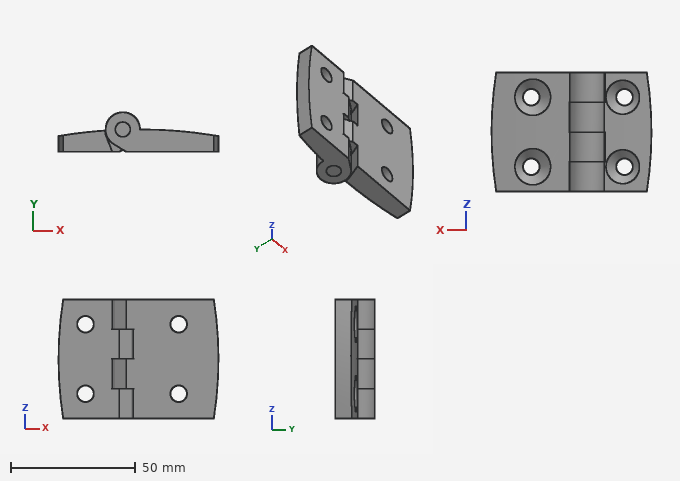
import cadquery as cq
import math

LENGTH = 64.5
HEIGHT = 48.0
SIDE_BULGE = 1.9

CROWN_DEPTH = 9.1
END_DEPTH = 6.4

TOTAL_DEPTH = 16.0
BARREL_RADIUS = 6.95
CLEARANCE_RADIUS = 7.2
AXIS_X = 25.9
AXIS_Y = TOTAL_DEPTH - BARREL_RADIUS
KNUCKLE_FOOT = 1.35
RECESS_FOOT = 4.25
PIN_DIAMETER = 6.0

KNUCKLE_COUNT = 4
KNUCKLE_HEIGHT = HEIGHT / KNUCKLE_COUNT

HOLE_DIAMETER = 6.6
LEFT_HOLE_X = 10.9
RIGHT_HOLE_X = 48.4
HOLE_SPACING_Z = 28.0
SINK_DIAMETER = 13.5
SINK_LEVEL = 7.85
SINK_ANGLE = 90.0

LEFT = -1
RIGHT = 1


def domed_slab():
    """Slab shared by both leaves: flat front, domed back and bowed outer edges."""
    profile = (
        cq.Workplane("XY")
        .lineTo(LENGTH, 0)
        .lineTo(LENGTH, END_DEPTH)
        .threePointArc((LENGTH / 2, CROWN_DEPTH), (0, END_DEPTH))
        .close()
        .extrude(HEIGHT)
    )
    outline = (
        cq.Workplane("XZ")
        .moveTo(SIDE_BULGE, 0)
        .lineTo(LENGTH - SIDE_BULGE, 0)
        .threePointArc((LENGTH, HEIGHT / 2), (LENGTH - SIDE_BULGE, HEIGHT))
        .lineTo(SIDE_BULGE, HEIGHT)
        .threePointArc((0, HEIGHT / 2), (SIDE_BULGE, 0))
        .close()
        .extrude(-TOTAL_DEPTH)
    )
    return profile.intersect(outline)


def tangent_point(radius, foot, side):
    """Point where the line from a foot on the front face touches a circle about the axis.

    The foot lies that far from the axis toward the given side, and the line
    touches the circle on the opposite side of the foot.
    """
    distance = math.hypot(foot, AXIS_Y)
    angle = math.atan2(-AXIS_Y, foot) - math.acos(radius / distance)
    return (AXIS_X + side * radius * math.cos(angle), AXIS_Y + radius * math.sin(angle))


def cylinder_about_axis(radius, bottom, height):
    return (
        cq.Workplane("XY", origin=(0, 0, bottom))
        .center(AXIS_X, AXIS_Y)
        .circle(radius)
        .extrude(height)
    )


def knuckle(side, bottom):
    """Barrel with a ramp that runs tangentially down to the front face."""
    foot_x = AXIS_X + side * KNUCKLE_FOOT
    ramp = (
        cq.Workplane("XY", origin=(0, 0, bottom))
        .polyline([
            (AXIS_X, AXIS_Y),
            tangent_point(BARREL_RADIUS, KNUCKLE_FOOT, side),
            (foot_x, 0),
            (foot_x, AXIS_Y),
        ])
        .close()
        .extrude(KNUCKLE_HEIGHT)
    )
    return cylinder_about_axis(BARREL_RADIUS, bottom, KNUCKLE_HEIGHT).union(ramp)


def knuckle_recess(side, bottom):
    """Space for the other leaf's knuckle, with a sloping wall tangent to the clearance."""
    slope = (
        cq.Workplane("XY", origin=(0, 0, bottom))
        .polyline([
            (AXIS_X, AXIS_Y),
            tangent_point(CLEARANCE_RADIUS, -RECESS_FOOT, -side),
            (AXIS_X + side * RECESS_FOOT, 0),
            (AXIS_X, 0),
        ])
        .close()
        .extrude(KNUCKLE_HEIGHT)
    )
    return cylinder_about_axis(CLEARANCE_RADIUS, bottom, KNUCKLE_HEIGHT).union(slope)


def screw_hole(x, z):
    """Through hole with a countersink that opens on the domed back."""
    hole_radius = HOLE_DIAMETER / 2
    widening = math.tan(math.radians(SINK_ANGLE / 2))
    sink_bottom = SINK_LEVEL - (SINK_DIAMETER / 2 - hole_radius) / widening
    rim_radius = hole_radius + (CROWN_DEPTH - sink_bottom) * widening
    return (
        cq.Workplane("XY", origin=(x, 0, z))
        .lineTo(hole_radius, 0)
        .lineTo(hole_radius, sink_bottom)
        .lineTo(rim_radius, CROWN_DEPTH)
        .lineTo(0, CROWN_DEPTH)
        .close()
        .revolve(360, (0, 0, 0), (0, 1, 0))
    )


def leaf(side, hole_x, first_knuckle):
    """One hinge leaf; its knuckles alternate with recesses from the bottom up."""
    foot_x = AXIS_X + side * KNUCKLE_FOOT
    half_space = (
        cq.Workplane("XY")
        .box(LENGTH, TOTAL_DEPTH, HEIGHT, centered=(True, False, False))
        .translate((foot_x + side * LENGTH / 2, 0, 0))
    )
    body = domed_slab().intersect(half_space)

    for level in range(KNUCKLE_COUNT):
        bottom = level * KNUCKLE_HEIGHT
        if level % 2 == first_knuckle:
            body = body.union(knuckle(side, bottom))
        else:
            body = body.cut(knuckle_recess(side, bottom))

    for end in (-1, 1):
        body = body.cut(screw_hole(hole_x, HEIGHT / 2 + end * HOLE_SPACING_Z / 2))
    return body.cut(hinge_pin())


def hinge_pin():
    return cylinder_about_axis(PIN_DIAMETER / 2, 0, HEIGHT)


left_leaf = leaf(LEFT, LEFT_HOLE_X, first_knuckle=0)
right_leaf = leaf(RIGHT, RIGHT_HOLE_X, first_knuckle=1)
pin = hinge_pin()

result = cq.Compound.makeCompound([left_leaf.val(), right_leaf.val(), pin.val()])